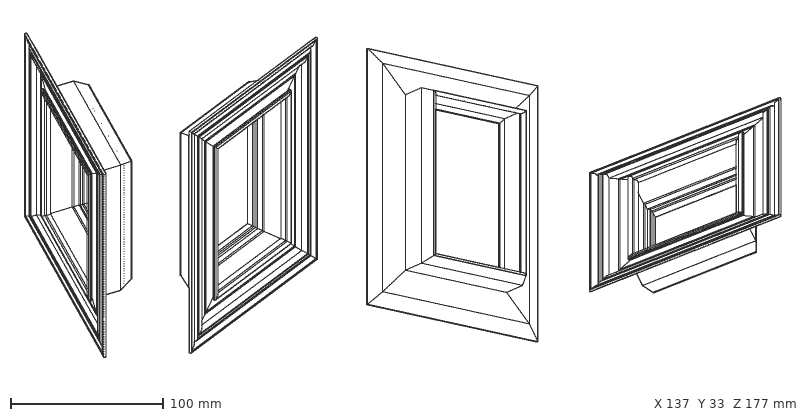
import cadquery as cq


frame_width = 137.0
frame_height = 177.0
frame_depth = 33.0
section_width = 33.0

flange_depth = 5.3
flange_taper_end = 9.5
edge_depth = 1.6
edge_radius = 0.5
edge_rim_end = 1.0

face_depth = 0.6
groove_start = 4.0
groove_end = 6.5
groove_depth = 1.8
groove_round = 0.5
bead_end = 7.6
valley_start = 8.7
valley_depth = 1.0
ridge_start = 9.5
ridge_end = 12.7
ridge_round = 0.4

pan_depth = 3.4
hinge_groove_middle = 19.9
hinge_groove_radius = 0.55

collar_outside = 27.8
collar_inside = 29.2
collar_taper_start = 23.5
collar_end_outside = 31.4
collar_end_land = 0.6
collar_inner_round = 0.3

rim_side = 27.1
rim_chamfer_depth = 1.3
rim_start = 27.6
clip_slot_end = 28.2
clip_slot_front = 2.4
rim_wall = 30.3
rim_round = 0.3
rim_wall_depth = 2.0
ledge_start = 30.8
ledge_depth = 3.0
nose_round = 0.6
nose_back = 5.1

seat_slope_start = 22.0
seat_wall = 30.0
seat_slope_end = 22.8
seat_depth = 26.6
seat_end = 32.1
back_lip_start = 28.1
back_lip_end = 28.8


def moulding_section():
    """Closed outline of the moulding, drawn once round from the outer edge."""
    groove_outer_wall = groove_start + groove_round
    groove_inner_wall = groove_end - groove_round
    hinge_groove_start = hinge_groove_middle - hinge_groove_radius
    hinge_groove_end = hinge_groove_middle + hinge_groove_radius
    return (
        cq.Workplane("YZ")
        .moveTo(0, edge_depth)
        .lineTo(0, edge_radius)
        .radiusArc((edge_radius, 0), -edge_radius)
        .lineTo(edge_rim_end, 0)
        .lineTo(edge_rim_end, face_depth)
        .lineTo(groove_start, face_depth)
        .radiusArc((groove_outer_wall, face_depth + groove_round), -groove_round)
        .lineTo(groove_outer_wall, groove_depth - groove_round)
        .radiusArc((groove_outer_wall + groove_round, groove_depth), groove_round)
        .lineTo(groove_inner_wall - groove_round, groove_depth)
        .radiusArc((groove_inner_wall, groove_depth - groove_round), groove_round)
        .lineTo(groove_inner_wall, face_depth + groove_round)
        .radiusArc((groove_end, face_depth), -groove_round)
        .lineTo(bead_end, face_depth)
        .lineTo(valley_start, valley_depth)
        .lineTo(ridge_start, valley_depth)
        .lineTo(ridge_start, face_depth)
        .lineTo(ridge_end - ridge_round, face_depth)
        .radiusArc((ridge_end, face_depth + ridge_round), -ridge_round)
        .lineTo(ridge_end, pan_depth)
        .lineTo(hinge_groove_start, pan_depth)
        .threePointArc(
            (hinge_groove_middle, pan_depth + hinge_groove_radius),
            (hinge_groove_end, pan_depth),
        )
        .lineTo(clip_slot_end, pan_depth)
        .lineTo(clip_slot_end, clip_slot_front)
        .lineTo(rim_side, clip_slot_front)
        .lineTo(rim_side, rim_chamfer_depth)
        .lineTo(rim_start, face_depth)
        .lineTo(rim_wall - rim_round, face_depth)
        .radiusArc((rim_wall, face_depth + rim_round), -rim_round)
        .lineTo(rim_wall, rim_wall_depth)
        .lineTo(ledge_start, ledge_depth)
        .lineTo(section_width - nose_round, ledge_depth)
        .radiusArc((section_width, ledge_depth + nose_round), -nose_round)
        .lineTo(section_width, nose_back)
        .lineTo(collar_inside, nose_back)
        .lineTo(collar_inside, seat_slope_start)
        .lineTo(seat_wall, seat_slope_end)
        .lineTo(seat_wall, seat_depth)
        .lineTo(seat_end, seat_depth)
        .lineTo(seat_end, back_lip_start)
        .lineTo(section_width, back_lip_end)
        .lineTo(section_width, frame_depth - collar_inner_round)
        .radiusArc((section_width - collar_inner_round, frame_depth), -collar_inner_round)
        .lineTo(collar_end_outside, frame_depth)
        .lineTo(collar_end_outside, frame_depth - collar_end_land)
        .lineTo(collar_outside, collar_taper_start)
        .lineTo(collar_outside, flange_depth)
        .lineTo(flange_taper_end, flange_depth)
        .close()
    )


def mitred_rail(length, frame_span):
    """Moulding along X with 45 degree ends, as the lower side of a frame frame_span high."""
    half = length / 2
    bar = moulding_section().extrude(length).translate((-half, 0, 0))
    mitre = (
        cq.Workplane("XY")
        .polyline(
            [
                (-half, 0),
                (half, 0),
                (half - section_width, section_width),
                (section_width - half, section_width),
            ]
        )
        .close()
        .extrude(frame_depth)
    )
    upright = bar.intersect(mitre).mirror("XY").rotate((0, 0, 0), (1, 0, 0), 90)
    return upright.translate((0, 0, -frame_span / 2))


def both_sides(rail, first_turn):
    """The rail turned about the Y axis to first_turn and to the side opposite it."""
    return [rail.rotate((0, 0, 0), (0, 1, 0), first_turn + turn).val() for turn in (0, 180)]


rails = both_sides(mitred_rail(frame_width, frame_height), 0)

stiles = both_sides(mitred_rail(frame_height, frame_width), 90)

result = cq.Compound.makeCompound([*rails, *stiles])